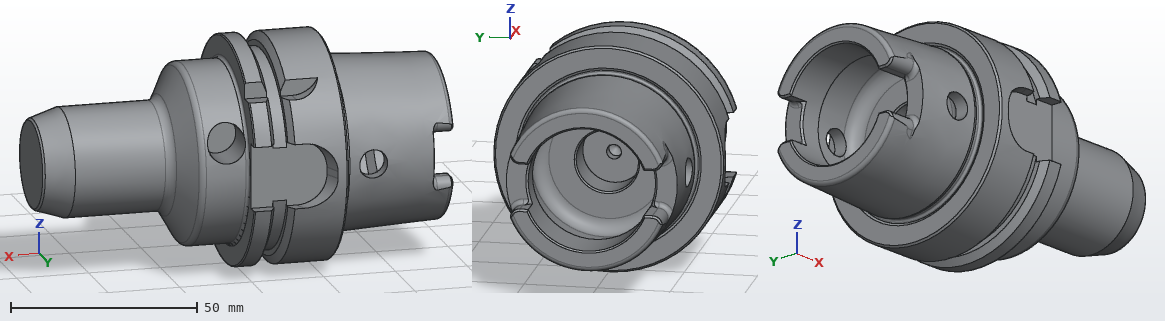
import cadquery as cq
import math

total_length = 112.0

flange_start = 32.0
shank_radius = 24.1
taper_end = 29.8
taper_slope = 1 / 20
shank_mouth_fillet = 1.2
relief_start = 30.8
relief_depth = 0.3
relief_floor_radius = 24.8
relief_fillet = 0.7
relief_ring_radius = 25.4

flange_radius = 31.5
flange_end = 58.0
flange_chamfer = 0.6
flange_back_chamfer = 0.3
groove_start = 48.0
groove_end = 51.9
groove_radius = 27.5
groove_bevel_length = 1.3
groove_bevel_angle = 60.0

collar_radius = 25.0
collar_root_fillet = 0.9
shoulder_start = 71.1
shoulder_angle = 60.0
shoulder_fillet = 2.0
neck_fillet = 3.0
nose_radius = 15.0
nose_taper_start = 103.7
nose_tip_radius = 12.5
nose_tip_chamfer = 0.6

mouth_radius = 17.0
mouth_chamfer = 0.5
mouth_land_end = 12.5
clamp_angle = 60.0
chamber_radius = 19.9
chamber_floor = 30.0
chamber_fillet = 4.0
tube_radius = 9.0
tube_chamfer = 0.5
tube_depth = 10.0
coolant_radius = 2.0
coolant_depth = 3.4
drill_point_angle = 118.0

cross_hole_x = 23.1
cross_hole_radius = 3.9

keyway_half_width = 6.3
keyway_depth_front = 10.0
keyway_depth_back = 5.9
keyway_floor_fillet = 1.3
keyway_flare_start = 18.1
keyway_flare_radius = 2.7
keyway_flare_tilt = 27.0
keyway_mouth_chamfer = 0.6
keyway_bore_chamfer = 0.6
keyway_reach = 29.1

slot_half_width = 9.0
slot_floor = 26.5
slot_start = 35.0
slot_end_tilt = 20.0
slot_corner_radius = 8.0

notch_floor_y = 20.0
notch_floor_z = 19.8
notch_arc_x = 44.8
notch_arc_radius = 8.0

screw_x = 64.0
screw_z = 8.6
screw_radius = 5.3
screw_floor_y = 13.4

chamfer_angle = 45.0
clearance = 5.6


def tan_deg(angle):
    return math.tan(math.radians(angle))


def revolved(points, fillets=()):
    """Revolve an (x, radius) outline about X, rounding the listed corners."""
    sketch = cq.Sketch().polygon(points + points[:1])
    for corner, radius in fillets:
        nearest = cq.NearestToPointSelector((corner[0], corner[1], 0))
        sketch = sketch.reset().vertices(nearest).fillet(radius)
    return cq.Workplane("XY").placeSketch(sketch.reset()).revolve(360, (0, 0, 0), (1, 0, 0))


def outer_body():
    shank_corner = (0, shank_radius - taper_end * taper_slope)
    bevel_drop = groove_bevel_length * tan_deg(groove_bevel_angle)
    collar_root = (flange_end, collar_radius)
    shoulder = (shoulder_start, collar_radius)
    shoulder_length = (collar_radius - nose_radius) / tan_deg(shoulder_angle)
    neck = (shoulder_start + shoulder_length, nose_radius)
    relief_radius = shank_radius - relief_depth
    relief_corner = (flange_start + relief_depth, relief_radius)
    outline = [
        (0, 0),
        shank_corner,
        (taper_end, shank_radius),
        (relief_start, relief_radius),
        relief_corner,
        (flange_start + relief_depth, relief_floor_radius),
        (flange_start, relief_ring_radius),
        (flange_start, flange_radius - flange_chamfer),
        (flange_start + flange_chamfer, flange_radius),
        (groove_start - groove_bevel_length, flange_radius),
        (groove_start, flange_radius - bevel_drop),
        (groove_start, groove_radius),
        (groove_end, groove_radius),
        (groove_end, flange_radius - bevel_drop),
        (groove_end + groove_bevel_length, flange_radius),
        (flange_end - flange_back_chamfer, flange_radius),
        (flange_end, flange_radius - flange_back_chamfer),
        collar_root,
        shoulder,
        neck,
        (nose_taper_start, nose_radius),
        (total_length - nose_tip_chamfer, nose_tip_radius),
        (total_length, nose_tip_radius - nose_tip_chamfer),
        (total_length, 0),
    ]
    rounded_corners = [
        (shank_corner, shank_mouth_fillet),
        (relief_corner, relief_fillet),
        (collar_root, collar_root_fillet),
        (shoulder, shoulder_fillet),
        (neck, neck_fillet),
    ]
    return revolved(outline, rounded_corners)


def shank_bore():
    clamp_length = (chamber_radius - mouth_radius) / tan_deg(clamp_angle)
    chamber_corner = (chamber_floor, chamber_radius)
    tube_floor = chamber_floor + tube_depth
    coolant_end = tube_floor + coolant_depth
    drill_point_length = coolant_radius / tan_deg(drill_point_angle / 2)
    outline = [
        (0, 0),
        (0, mouth_radius + mouth_chamfer),
        (mouth_chamfer, mouth_radius),
        (mouth_land_end, mouth_radius),
        (mouth_land_end + clamp_length, chamber_radius),
        chamber_corner,
        (chamber_floor, tube_radius),
        (chamber_floor + tube_chamfer, tube_radius - tube_chamfer),
        (tube_floor, tube_radius - tube_chamfer),
        (tube_floor, coolant_radius),
        (coolant_end, coolant_radius),
        (coolant_end + drill_point_length, 0),
    ]
    return revolved(outline, [(chamber_corner, chamber_fillet)])


def cross_hole():
    reach = shank_radius + clearance
    return (
        cq.Workplane("XZ", origin=(cross_hole_x, reach, 0))
        .circle(cross_hole_radius)
        .extrude(2 * reach)
    )


def keyway_outline():
    tilt = math.radians(keyway_flare_tilt)
    centre_z = keyway_half_width + keyway_flare_radius

    def flare_point(angle):
        y = keyway_flare_start + keyway_flare_radius * math.cos(angle)
        z = centre_z + keyway_flare_radius * math.sin(angle)
        return y, z

    def mirrored(point):
        return point[0], -point[1]

    wall_start = (0, keyway_half_width)
    flare_start = (keyway_flare_start, keyway_half_width)
    flare_mid = flare_point((tilt - math.pi / 2) / 2)
    flare_end = flare_point(tilt)
    side = (flare_end[0] - (keyway_reach - flare_end[1]) * math.tan(tilt), keyway_reach)
    outer = (keyway_reach, keyway_reach)
    return (
        cq.Workplane("YZ")
        .moveTo(*wall_start)
        .lineTo(*flare_start)
        .threePointArc(flare_mid, flare_end)
        .lineTo(*side)
        .lineTo(*outer)
        .lineTo(*mirrored(outer))
        .lineTo(*mirrored(side))
        .lineTo(*mirrored(flare_end))
        .threePointArc(mirrored(flare_mid), mirrored(flare_start))
        .lineTo(*mirrored(wall_start))
        .close()
    )


def keyway(depth):
    """Keyway cutter with a rounded floor and bevelled mouth and bore edges."""
    slot = keyway_outline().extrude(depth).faces(">X").edges().fillet(keyway_floor_fillet)
    mouth = (
        keyway_outline()
        .offset2D(keyway_mouth_chamfer, "intersection")
        .extrude(keyway_mouth_chamfer, taper=chamfer_angle)
    )
    cone_end = depth + keyway_bore_chamfer
    bore_cone = revolved([
        (0, 0),
        (0, mouth_radius + cone_end),
        (cone_end, mouth_radius),
        (cone_end, 0),
    ])
    bore_edge = keyway_outline().extrude(cone_end).intersect(bore_cone)
    return slot.union(mouth).union(bore_edge)


def gripper_slot():
    outer_y = flange_radius + clearance
    slope = tan_deg(slot_end_tilt)
    outline = [
        (slot_start - clearance * slope, outer_y),
        (slot_start + (flange_radius - slot_floor) * slope, slot_floor),
        (flange_end, slot_floor),
        (flange_end, outer_y),
    ]
    return (
        cq.Workplane("XY")
        .polyline(outline)
        .close()
        .extrude(slot_half_width, both=True)
        .faces("<X")
        .edges("not |Z")
        .fillet(slot_corner_radius)
    )


def orientation_notch():
    outer = flange_radius + clearance
    arc_offset = notch_arc_radius * math.sqrt(0.5)
    arc_centre_z = notch_floor_z + notch_arc_radius
    return (
        cq.Workplane("XZ", origin=(0, outer, 0))
        .moveTo(flange_end, notch_floor_z)
        .lineTo(notch_arc_x, notch_floor_z)
        .threePointArc(
            (notch_arc_x - arc_offset, arc_centre_z - arc_offset),
            (notch_arc_x - notch_arc_radius, arc_centre_z),
        )
        .lineTo(notch_arc_x - notch_arc_radius, outer)
        .lineTo(flange_end, outer)
        .close()
        .extrude(outer - notch_floor_y)
    )


def screw_hole():
    outer_y = collar_radius + clearance
    return (
        cq.Workplane("XZ", origin=(screw_x, outer_y, screw_z))
        .circle(screw_radius)
        .extrude(outer_y - screw_floor_y)
    )


result = outer_body().cut(shank_bore()).cut(cross_hole())
result = result.cut(keyway(keyway_depth_back))
result = result.cut(keyway(keyway_depth_front).rotate((0, 0, 0), (1, 0, 0), 180))
result = result.cut(gripper_slot()).cut(gripper_slot().mirror("XZ"))
result = result.cut(orientation_notch()).cut(screw_hole())